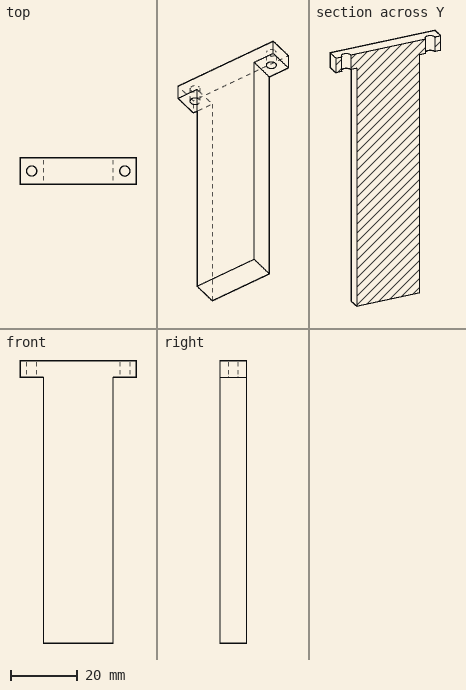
import cadquery as cq

thickness = 8.0
total_height = 85.0
head_width = 35.0
head_height = 5.0
blade_width = 21.0
hole_diameter = 3.0
hole_spacing = 28.0

blade_height = total_height - head_height


def make_blade():
    """Rectangular blade standing on Z = 0, centred on X and Y."""
    return cq.Workplane("XY").box(
        blade_width, thickness, blade_height, centered=(True, True, False)
    )


def make_head():
    """Wider crossbar on top of the blade, with a through hole in each ear."""
    head = (
        cq.Workplane("XY")
        .workplane(offset=blade_height)
        .box(head_width, thickness, head_height, centered=(True, True, False))
    )
    hole_centers = [(-hole_spacing / 2, 0), (hole_spacing / 2, 0)]
    return head.faces(">Z").workplane().pushPoints(hole_centers).hole(hole_diameter)


result = make_blade().union(make_head())